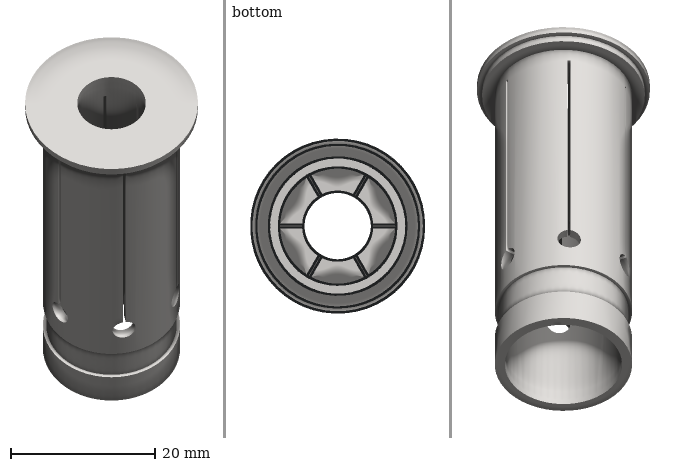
import cadquery as cq

total_height = 52.5
flange_thickness = 1.0
step_thickness = 1.0
foot_height = 5.0
groove_height = 5.0

flange_diameter = 24.0
step_diameter = 22.6
body_diameter = 19.05
groove_diameter = 18.1
bore_diameter = 9.5

lower_bore_diameter = 16.3
lower_bore_depth = 19.95

slot_count = 6
slot_width = 0.4
slot_top = 48.5
relief_diameter = 3.25
relief_height = 14.95


def disc(diameter, bottom, height):
    """Upright cylinder on the Z axis."""
    return cq.Workplane("XY").workplane(offset=bottom).circle(diameter / 2).extrude(height)


def slot_cutter(angle):
    """Radial slot and relief hole through one side of the wall."""
    reach = flange_diameter / 2
    slot_length = slot_top - relief_height
    slot = (
        cq.Workplane("YZ")
        .center(0, relief_height + slot_length / 2)
        .rect(slot_width, slot_length)
        .extrude(reach)
    )
    relief = cq.Workplane("YZ").center(0, relief_height).circle(relief_diameter / 2).extrude(reach)
    return slot.union(relief).rotate((0, 0, 0), (0, 0, 1), angle)


flange_bottom = total_height - flange_thickness
step_bottom = flange_bottom - step_thickness
body_bottom = foot_height + groove_height

sleeve = disc(body_diameter, 0, foot_height)
sleeve = sleeve.union(disc(groove_diameter, foot_height, groove_height))
sleeve = sleeve.union(disc(body_diameter, body_bottom, step_bottom - body_bottom))
sleeve = sleeve.union(disc(step_diameter, step_bottom, step_thickness))
sleeve = sleeve.union(disc(flange_diameter, flange_bottom, flange_thickness))

sleeve = sleeve.cut(disc(bore_diameter, 0, total_height))

sleeve = sleeve.cut(disc(lower_bore_diameter, 0, lower_bore_depth))

for index in range(slot_count):
    sleeve = sleeve.cut(slot_cutter(index * 360 / slot_count))

result = sleeve